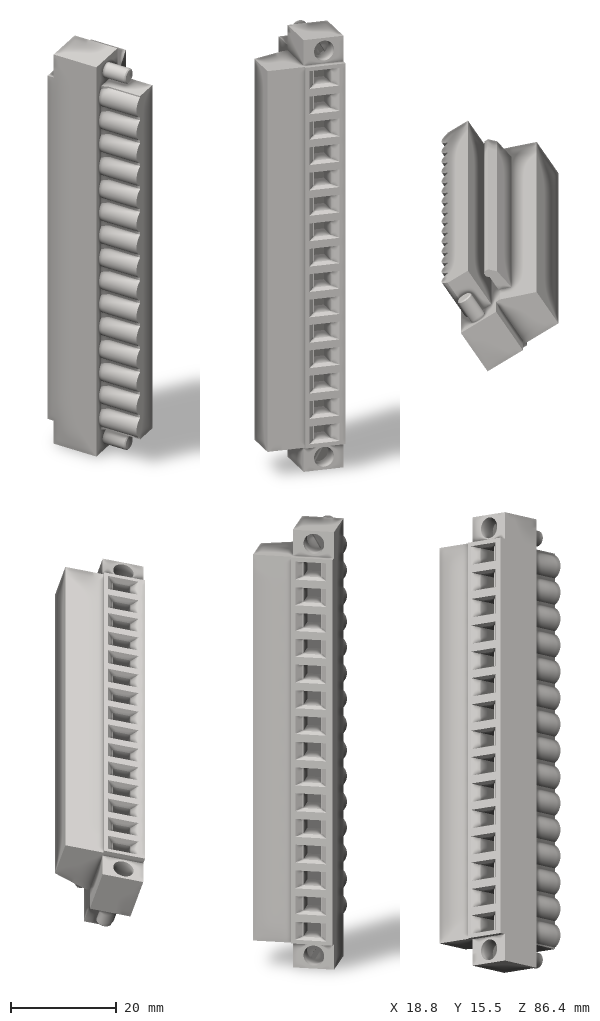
import cadquery as cq

height = 86.4
pole_count = 15
pole_stack = 76.2
pole_pitch = pole_stack / pole_count

housing_front_x = 10.6
lower_depth = 8.0
housing_depth = 15.5
upper_back_x = 0.5
slope_top_x = 8.1
slope_foot_y = 8.8

flange_back_x = 1.3
flange_depth = 7.95
flange_length = (height - pole_stack) / 2
screw_y = 3.9
screw_z = (pole_stack + flange_length) / 2

head_hole_diameter = 4.0
head_recess = 3.45
slot_width = 0.95
slot_depth = 0.7
slot_angle = 60.0
shank_diameter = 3.0
shank_tip_diameter = 2.6
shank_end_x = 15.55

latch_root_x = 9.5
latch_length = pole_stack - 2 * pole_pitch

plug_end_x = 18.8
plug_top_y = 6.9
plug_shoulder_y = 2.3
plug_bottom_y = 0.95
groove_width = 0.6
ramp_length = 1.5
ramp_height = 0.5

entry_y = 4.2
entry_width = 6.0
entry_height = 3.5
entry_inner_width = 3.4
entry_inner_height = 2.85
entry_ledge = 0.2
entry_funnel_depth = 1.2
entry_depth = 5.2

pole_heights = [(i - (pole_count - 1) / 2) * pole_pitch for i in range(pole_count)]


def slab(outline, length):
    """Extrude an XY outline along Z, centred on the middle of the part."""
    return outline.extrude(length / 2, both=True)


def housing():
    lower = slab(cq.Workplane("XY").rect(housing_front_x, lower_depth, centered=False), pole_stack)
    upper_outline = cq.Workplane("XY").polyline([
        (upper_back_x, 0),
        (upper_back_x, housing_depth),
        (slope_top_x, housing_depth),
        (housing_front_x, slope_foot_y),
        (housing_front_x, 0),
    ]).close()
    flange_outline = (
        cq.Workplane("XY")
        .moveTo(flange_back_x, 0)
        .rect(housing_front_x - flange_back_x, flange_depth, centered=False)
    )
    return lower.union(slab(upper_outline, pole_stack)).union(slab(flange_outline, height))


def plug_row():
    """Ribs with a rounded underside on a common straight bar."""
    plug_length = plug_end_x - housing_front_x
    row = slab(
        cq.Workplane("XY")
        .moveTo(housing_front_x, plug_shoulder_y)
        .rect(plug_length, plug_top_y - plug_shoulder_y, centered=False),
        pole_stack,
    )
    half_chord = (pole_pitch - groove_width) / 2
    for z in pole_heights:
        rib = (
            cq.Workplane("YZ", origin=(housing_front_x, 0, z))
            .moveTo(plug_shoulder_y, -half_chord)
            .threePointArc((plug_bottom_y, 0), (plug_shoulder_y, half_chord))
            .close()
            .extrude(plug_length)
        )
        row = row.union(rib)
    ramp = slab(
        cq.Workplane("XY").polyline([
            (housing_front_x, plug_shoulder_y),
            (housing_front_x, plug_shoulder_y - ramp_height),
            (housing_front_x + ramp_length, plug_shoulder_y),
        ]).close(),
        pole_stack,
    )
    return row.union(ramp)


def latch():
    """Hooked snap strip along the sloped face of the housing."""
    outline = cq.Workplane("XY").polyline([
        (latch_root_x, 11.0),
        (14.0, 10.4),
        (15.3, 9.15),
        (15.3, 8.4),
        (14.9, 8.0),
        (14.25, 8.0),
        (13.8, 8.55),
        (latch_root_x, 8.55),
    ]).close()
    return slab(outline, latch_length)


def wire_entry(z):
    """Tapered mouth, then a straight pocket with a narrow ledge on either side."""
    mouth = (
        cq.Workplane("YZ", origin=(0, entry_y, z))
        .rect(entry_width, entry_height)
        .workplane(offset=entry_funnel_depth)
        .rect(entry_inner_width + 2 * entry_ledge, entry_inner_height)
        .loft(ruled=True)
    )
    pocket = (
        cq.Workplane("YZ", origin=(0, entry_y, z))
        .rect(entry_inner_width, entry_inner_height)
        .extrude(entry_depth)
    )
    return mouth.union(pocket)


def screw_recess(z, tilt):
    """Head hole in the flange with a screwdriver slot in its floor."""
    floor_x = flange_back_x + head_recess
    hole = (
        cq.Workplane("YZ", origin=(flange_back_x, screw_y, z))
        .circle(head_hole_diameter / 2)
        .extrude(head_recess)
    )
    slot = (
        cq.Workplane("YZ", origin=(floor_x, screw_y, z))
        .transformed(rotate=(0, 0, tilt))
        .rect(head_hole_diameter, slot_width)
        .extrude(slot_depth)
    )
    bore = (
        cq.Workplane("YZ", origin=(floor_x, screw_y, z))
        .circle(head_hole_diameter / 2)
        .extrude(slot_depth)
    )
    return hole.union(slot.intersect(bore))


def screw_shank(z):
    chamfer = (shank_diameter - shank_tip_diameter) / 2
    return (
        cq.Workplane("YZ", origin=(housing_front_x, screw_y, z))
        .circle(shank_diameter / 2)
        .extrude(shank_end_x - housing_front_x)
        .faces(">X")
        .chamfer(chamfer)
    )


result = housing().union(plug_row()).union(latch())
for z in pole_heights:
    result = result.cut(wire_entry(z))
for side in (-1, 1):
    result = result.cut(screw_recess(side * screw_z, side * slot_angle))
    result = result.union(screw_shank(side * screw_z))